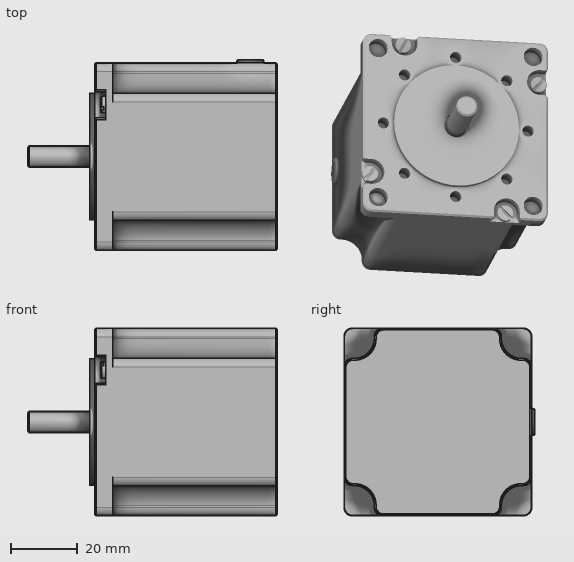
import cadquery as cq
import math

total_length = 74.6
pilot_front = 18.5
flange_front = 20.0
flange_back = 25.4

width = 56.0
half_width = width / 2
corner_radius = 2.5
edge_chamfer = 0.5

scallop_radius = 6.0
scallop_inset = 3.05

pilot_diameter = 37.9
shaft_diameter = 6.35
clearance_diameter = 7.6
clearance_depth = flange_front - pilot_front

mount_hole_diameter = 5.75
mount_hole_depth = 4.5
mount_hole_offset = 23.5
ring_hole_diameter = 3.4
ring_hole_count = 8
ring_radius = 21.9
ring_hole_depth = flange_back - flange_front

pocket_width = 7.8
pocket_depth = 3.35
mouth_chamfer = edge_chamfer
screw_diameter = 4.9
screw_height = 1.5
screw_chamfer = 0.2
slot_width = 1.0
slot_depth = 0.8
screw_radius = screw_diameter / 2
screw_side_offset = ring_radius * math.cos(math.radians(45))
screw_reach = half_width - screw_radius
pocket_floor = flange_front + pocket_depth

screw_places = [(0, 118), (90, 131), (180, 43), (270, 131)]

grommet_x = 66.55
grommet_radius = 4.0
grommet_height = 1.0
grommet_fillet = 0.75


def plane_at(x):
    """Sketch plane facing +X, with sketch axes along +Y and +Z."""
    return cq.Workplane("YZ", origin=(x, 0, 0))


def make_flange():
    """Square front flange with rounded corners and a chamfered front edge."""
    flange = plane_at(flange_front).rect(width, width).extrude(flange_back - flange_front)
    flange = flange.edges("|X").fillet(corner_radius)
    return flange.faces("<X").edges().chamfer(edge_chamfer)


def scallop_cutter():
    """Full-length cutter for the +Y +Z corner: a concave arc between two rounded lips."""
    center = half_width - scallop_inset
    wall = center - scallop_radius
    lip_end = half_width - corner_radius
    lip_start = wall - corner_radius
    diagonal = math.cos(math.radians(45))
    arc_middle = center - scallop_radius * diagonal
    lip_middle_along = lip_start + corner_radius * diagonal
    lip_middle_across = lip_end + corner_radius * diagonal
    outside = half_width + corner_radius
    return (
        plane_at(flange_back)
        .moveTo(lip_start, half_width)
        .threePointArc((lip_middle_along, lip_middle_across), (wall, lip_end))
        .lineTo(wall, center)
        .threePointArc((arc_middle, arc_middle), (center, wall))
        .lineTo(lip_end, wall)
        .threePointArc((lip_middle_across, lip_middle_along), (half_width, lip_start))
        .lineTo(outside, lip_start)
        .lineTo(outside, outside)
        .lineTo(lip_start, outside)
        .close()
        .extrude(total_length - flange_back)
    )


def make_motor_case():
    """Square case behind the flange with a scallop along each corner."""
    case = plane_at(flange_back).rect(width, width).extrude(total_length - flange_back)
    cutter = scallop_cutter()
    for corner in range(4):
        case = case.cut(cutter.rotate((0, 0, 0), (1, 0, 0), 90 * corner))
    return case.faces(">X").edges().chamfer(edge_chamfer)


def pocket_cutter():
    """Open-sided pocket on the +Z side with a round inner end and a chamfered mouth."""
    half = pocket_width / 2
    mouth_half = half + mouth_chamfer
    return (
        plane_at(flange_front)
        .moveTo(screw_side_offset - half, screw_reach)
        .threePointArc((screw_side_offset, screw_reach - half), (screw_side_offset + half, screw_reach))
        .lineTo(screw_side_offset + half, half_width - mouth_chamfer)
        .lineTo(screw_side_offset + mouth_half, half_width)
        .lineTo(screw_side_offset - mouth_half, half_width)
        .lineTo(screw_side_offset - half, half_width - mouth_chamfer)
        .close()
        .extrude(pocket_depth)
    )


def make_screw_head(slot_angle):
    """Slotted screw head on the floor of the +Z pocket."""
    top = pocket_floor - screw_height
    head = plane_at(top).circle(screw_radius).extrude(screw_height)
    head = head.faces("<X").edges().chamfer(screw_chamfer)
    slot_plane = plane_at(top).transformed(rotate=(0, 0, slot_angle))
    slot = slot_plane.rect(screw_diameter, slot_width).extrude(slot_depth)
    return head.cut(slot).translate((0, screw_side_offset, screw_reach))


def make_grommet():
    """Low round grommet with a rounded rim on the +Y side of the case."""
    side = cq.Workplane("XZ", origin=(grommet_x, half_width, 0))
    grommet = side.circle(grommet_radius).extrude(-grommet_height)
    return grommet.faces(">Y").edges().fillet(grommet_fillet)


def make_housing():
    pilot = plane_at(pilot_front).circle(pilot_diameter / 2).extrude(flange_front - pilot_front)
    housing = make_flange().union(make_motor_case()).union(pilot).union(make_grommet())

    housing = housing.cut(plane_at(pilot_front).circle(clearance_diameter / 2).extrude(clearance_depth))

    mount_spacing = 2 * mount_hole_offset
    mount_holes = (
        plane_at(flange_front)
        .rect(mount_spacing, mount_spacing, forConstruction=True)
        .vertices()
        .circle(mount_hole_diameter / 2)
        .extrude(mount_hole_depth)
    )
    housing = housing.cut(mount_holes)

    ring_holes = (
        plane_at(flange_front)
        .polarArray(ring_radius, 0, 360, ring_hole_count)
        .circle(ring_hole_diameter / 2)
        .extrude(ring_hole_depth)
    )
    housing = housing.cut(ring_holes)

    for turn, slot_angle in screw_places:
        pocket = pocket_cutter().rotate((0, 0, 0), (1, 0, 0), turn)
        head = make_screw_head(slot_angle - turn).rotate((0, 0, 0), (1, 0, 0), turn)
        housing = housing.cut(pocket).union(head)
    return housing


def make_shaft():
    """Output shaft standing on the floor of the clearance recess."""
    shaft = plane_at(0).circle(shaft_diameter / 2).extrude(pilot_front + clearance_depth)
    return shaft.faces("<X").edges().chamfer(edge_chamfer)


housing = make_housing()
shaft = make_shaft()
result = cq.Compound.makeCompound([housing.solids().val(), shaft.val()])